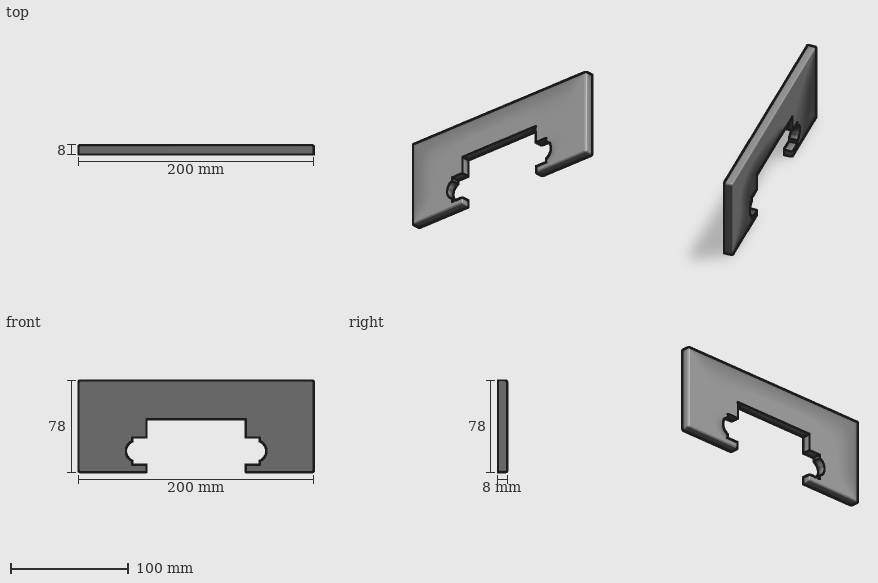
import cadquery as cq

PLATE_LENGTH = 200.0
PLATE_THICKNESS = 8.0
PLATE_HEIGHT = 78.0
EDGE_RADIUS = 2.0

NOTCH_WIDTH = 84.0
NOTCH_HEIGHT = 45.0
MOUTH_RADIUS = 1.0

POCKET_SPAN = 108.0
POCKET_HEIGHT = 23.0
POCKET_CENTER_Z = 18.0
RELIEF_DIAMETER = 18.0
RELIEF_SPAN = 119.0

TOLERANCE = 0.01


def make_plate():
    """Plate with rounded corners and a rounded back rim."""
    plate = cq.Workplane("XY").box(
        PLATE_LENGTH, PLATE_THICKNESS, PLATE_HEIGHT, centered=(True, False, False)
    )
    plate = plate.edges("|Y").fillet(EDGE_RADIUS)
    return plate.faces(">Y").edges().fillet(EDGE_RADIUS)


def make_box_cutter(width, height, bottom_z):
    """Box centred on X that passes through the full plate thickness."""
    return (
        cq.Workplane("XY")
        .box(width, PLATE_THICKNESS, height, centered=(True, False, False))
        .translate((0, 0, bottom_z))
    )


def make_reliefs():
    """Pair of round cutters at the outer ends of the side pockets."""
    center_x = (RELIEF_SPAN - RELIEF_DIAMETER) / 2
    return (
        cq.Workplane("XZ")
        .pushPoints([(-center_x, POCKET_CENTER_Z), (center_x, POCKET_CENTER_Z)])
        .circle(RELIEF_DIAMETER / 2)
        .extrude(-PLATE_THICKNESS)
    )


def round_notch_mouth(body):
    """Round the two corners where the notch meets the bottom edge."""
    half_width = NOTCH_WIDTH / 2
    mouth_corners = cq.selectors.BoxSelector(
        (-half_width - TOLERANCE, -TOLERANCE, -TOLERANCE),
        (half_width + TOLERANCE, PLATE_THICKNESS, TOLERANCE),
    )
    return body.edges("|Y").edges(mouth_corners).fillet(MOUTH_RADIUS)


notch = make_box_cutter(NOTCH_WIDTH, NOTCH_HEIGHT, 0)
pockets = make_box_cutter(POCKET_SPAN, POCKET_HEIGHT, POCKET_CENTER_Z - POCKET_HEIGHT / 2)
result = make_plate().cut(notch).cut(pockets).cut(make_reliefs())
result = round_notch_mouth(result)